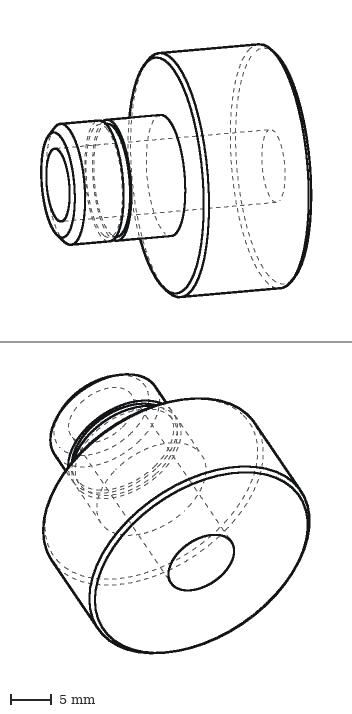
import cadquery as cq

head_diameter = 30.22
head_length = 14.0
head_chamfer = 0.5
total_length = 28.0
shank_diameter = 15.0
tip_chamfer = 1.0
bore_diameter = 9.0
groove_diameter = 14.0
groove_width = 1.0
groove_to_tip = 6.0

shank_length = total_length - head_length


def cylinder(diameter, start_y, length):
    """Cylinder about the Y axis, running from start_y toward -Y."""
    plane = cq.Workplane("XZ", origin=(0, start_y, 0))
    return plane.circle(diameter / 2).extrude(length)


head = cylinder(head_diameter, head_length, head_length).edges().chamfer(head_chamfer)

shank = cylinder(shank_diameter, 0, shank_length).faces("<Y").edges().chamfer(tip_chamfer)

groove_start = groove_to_tip + groove_width - shank_length
groove = cylinder(shank_diameter, groove_start, groove_width).cut(
    cylinder(groove_diameter, groove_start, groove_width)
)

bore = cylinder(bore_diameter, head_length, total_length)

result = head.union(shank).cut(groove).cut(bore)